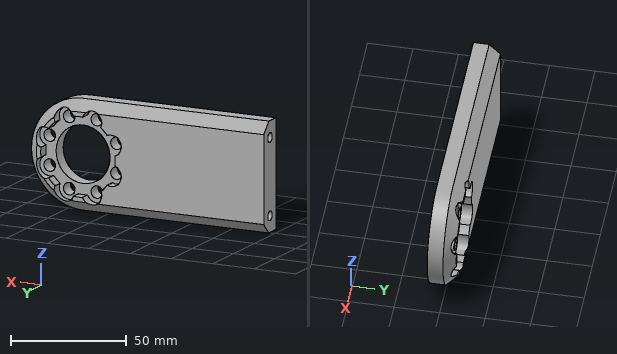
import cadquery as cq
import math

length = 115
height = 50.0
thickness = 12.0
edge_chamfer = 5.0
end_radius = height / 2
bore_x = length - end_radius

bore_diameter = 26.0
ring_radius = 17.5
ring_hole_count = 8
ring_hole_diameter = 5.5
counterbore_diameter = 9.5

recess_diameter = 36.0
recess_depth = 5.0

end_hole_diameter = 4.3
end_hole_depth = 15
end_hole_offset = 17.5
drill_point_angle = 118


def rod_along_y(x, z, diameter, y_start, y_end):
    """Cylinder parallel to Y, used as a hole cutter."""
    return cq.Workplane(cq.Solid.makeCylinder(
        diameter / 2, y_end - y_start, cq.Vector(x, y_start, z), cq.Vector(0, 1, 0)))


def plate():
    """Round-ended plate, chamfered on its rear edges except at the straight end."""
    body = (
        cq.Workplane("XZ")
        .moveTo(0, -end_radius)
        .lineTo(bore_x, -end_radius)
        .threePointArc((length, 0), (bore_x, end_radius))
        .lineTo(0, end_radius)
        .close()
        .extrude(-thickness)
    )
    return body.faces(">Y").edges("not <X").chamfer(edge_chamfer)


def counterbored_hole(x, z):
    """Through hole with its counterbore in the rear face."""
    hole = rod_along_y(x, z, ring_hole_diameter, 0, thickness)
    counterbore = rod_along_y(x, z, counterbore_diameter, thickness - recess_depth, thickness)
    return hole.union(counterbore)


def end_hole(z):
    """Blind hole along X with a conical drill point."""
    radius = end_hole_diameter / 2
    point_length = radius / math.tan(math.radians(drill_point_angle / 2))
    return (
        cq.Workplane("XY")
        .polyline([(0, 0), (0, radius), (end_hole_depth, radius), (end_hole_depth + point_length, 0)])
        .close()
        .revolve(360, (0, 0), (1, 0))
        .translate((0, thickness / 2, z))
    )


result = plate().cut(rod_along_y(bore_x, 0, bore_diameter, 0, thickness))

result = result.cut(rod_along_y(bore_x, 0, recess_diameter, thickness - recess_depth, thickness))

pitch_angle = 2 * math.pi / ring_hole_count
for index in range(ring_hole_count):
    angle = (index + 0.5) * pitch_angle
    hole_x = bore_x + ring_radius * math.cos(angle)
    hole_z = ring_radius * math.sin(angle)
    result = result.cut(counterbored_hole(hole_x, hole_z))

for side in (-1, 1):
    result = result.cut(end_hole(side * end_hole_offset))